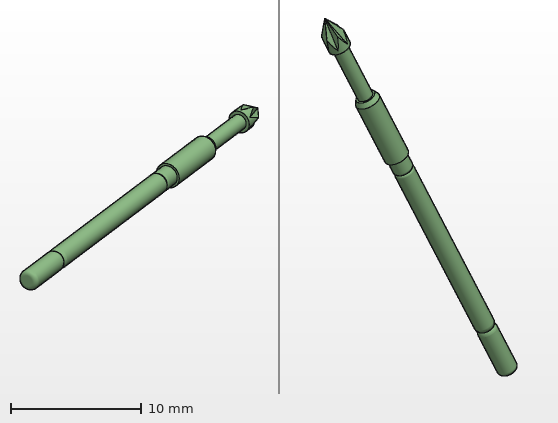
import cadquery as cq
import math

total_length = 36.0

head_length = 2.95
head_radius = 0.9
point_length = 1.48
flute_length = 2.63
flute_count = 6

plunger_diameter = 1.25
plunger_radius = plunger_diameter / 2

collar_radius = 1.0
collar_front = total_length - 7.95
collar_rear = total_length - 14.08
collar_chamfer_length = 0.45
collar_nose_radius = 0.8

barrel_radius = 0.83
end_fillet = 0.35

groove_depth = 0.15
front_groove_y = total_length - 15.48
front_groove_width = 0.45
rear_groove_y = total_length - 31.55
rear_groove_width = 0.7


def add_groove(profile, center_y, width):
    """Continue the barrel outline forward through one groove: two rounded rims meeting in a crease."""
    half_width = width / 2
    rim_arc_radius = (half_width**2 + groove_depth**2) / (2 * groove_depth)
    return (
        profile.lineTo(barrel_radius, center_y - half_width)
        .radiusArc((barrel_radius - groove_depth, center_y), -rim_arc_radius)
        .radiusArc((barrel_radius, center_y + half_width), -rim_arc_radius)
    )


def make_body():
    """Barrel, collar and plunger as one revolved outline."""
    profile = cq.Workplane("XY").lineTo(barrel_radius - end_fillet, 0)
    profile = profile.radiusArc((barrel_radius, end_fillet), -end_fillet)
    profile = add_groove(profile, rear_groove_y, rear_groove_width)
    profile = add_groove(profile, front_groove_y, front_groove_width)
    profile = (
        profile.lineTo(barrel_radius, collar_rear)
        .lineTo(collar_radius, collar_rear)
        .lineTo(collar_radius, collar_front - collar_chamfer_length)
        .lineTo(collar_nose_radius, collar_front)
        .lineTo(plunger_radius, collar_front)
        .lineTo(plunger_radius, total_length - head_length)
        .lineTo(0, total_length - head_length)
        .close()
    )
    return profile.revolve(360, (0, 0, 0), (0, 1, 0))


def make_star_point():
    """Star-based pyramid: sharp ridges and straight valleys all meet at the tip."""
    tip = cq.Vector(0, total_length, 0)
    base_y = total_length - head_length
    ridge_radius = head_radius * head_length / point_length
    valley_radius = head_radius * head_length / flute_length
    corners = []
    for i in range(2 * flute_count):
        angle = i * math.pi / flute_count
        radius = ridge_radius if i % 2 == 0 else valley_radius
        corners.append(cq.Vector(radius * math.cos(angle), base_y, radius * math.sin(angle)))
    faces = [cq.Face.makeFromWires(cq.Wire.makePolygon(corners, close=True))]
    for i, corner in enumerate(corners):
        triangle = cq.Wire.makePolygon([corners[i - 1], corner, tip], close=True)
        faces.append(cq.Face.makeFromWires(triangle))
    return cq.Workplane(cq.Solid.makeSolid(cq.Shell.makeShell(faces)))


def make_head():
    """Cylinder trimmed by the star-shaped point, leaving flutes that run out on its side."""
    blank = cq.Workplane("XZ", origin=(0, total_length, 0)).circle(head_radius).extrude(head_length)
    return blank.intersect(make_star_point())


result = make_body().union(make_head())